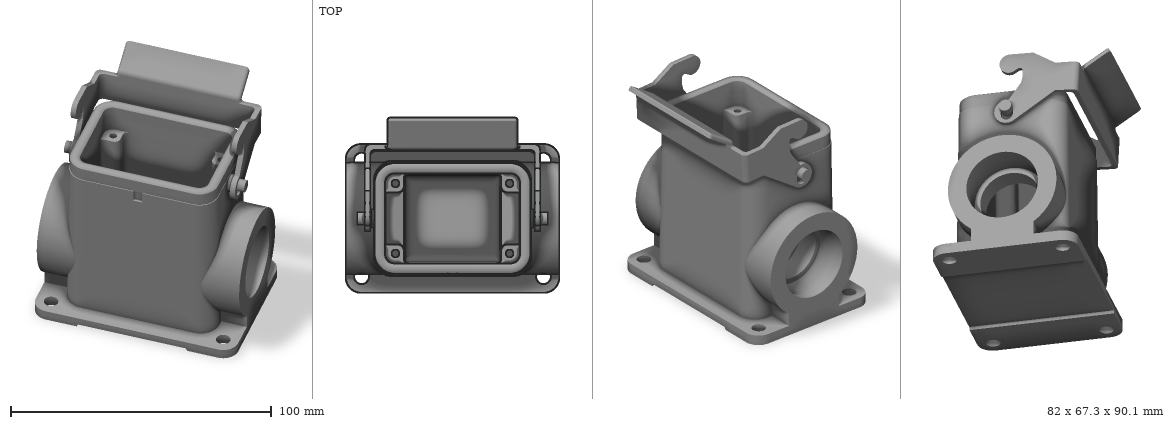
import cadquery as cq
import math

base_length = 82.0
base_width = 57.1
base_thickness = 4.1
base_corner_radius = 6.0
mount_hole_diameter = 5.6
mount_hole_spacing_x = 69.7
mount_hole_spacing_y = 44.7
recess_depth = 1.1
recess_top_length = 43.6
recess_bottom_length = 44.7

body_foot_length = 61.3
body_foot_width = 44.3
body_draft = 0.6
body_corner_radius = 7.6
shoulder_z = 67.8
rim_length = 59.6
rim_width = 42.3
rim_corner_radius = 7.7
rim_wall = 3.9
rim_crown_height = 0.8
housing_top = 73.9
crown_base_z = housing_top - rim_crown_height
notch_width = 3.5
notch_height = 4.5
notch_depth = 0.9

cavity_length = rim_length - 2 * rim_wall
cavity_width = rim_width - 2 * rim_wall
cavity_corner_radius = rim_corner_radius - rim_wall
post_top_z = 62.25
floor_z = base_thickness
cavity_depth = post_top_z - floor_z
core_length = 37.3
side_pocket_width = 20.2
cavity_draft = 0.7
throat_draft = 1.0
post_wall_radius = 1.6
post_corner_radius = 2.25
pocket_corner_radius = 0.7
floor_fillet = 3.0
ledge_outer_z = 47.7
ledge_angle = 27.5
screw_hole_diameter = 3.0
screw_hole_depth = 10.8
screw_spacing_x = 43.8
screw_spacing_y = 26.85

entry_z = 26.9
entry_radius = 21.4
entry_bore_diameter = 24.0
entry_counterbore_diameter = 28.3
entry_counterbore_depth = 13.6
web_width = 24.8

pin_z = 63.7
pin_diameter = 4.8
pin_tip_x = 36.5
pin_root_x = 27.0
collar_diameter = 7.0
collar_end_x = 30.9

lever_length = 67.2
lever_thickness = 2.1
eye_center_z = 62.5
eye_radius = 4.95
eye_slot_travel = 2 * (pin_z - eye_center_z)
underside_angle = 33.8
bend_outer_radius = 2.1
bend_inner_radius = 1.8
hook_center = (1.1, 83.1)
hook_radius = 4.0
hook_exit_angle = -73.0
cheek_arm_top = (19.2, 81.2)
cheek_shoulder = (10.5, 86.7)
throat_start = (4.2, 80.45)
throat_middle = (5.7, 80.5)
throat_end = (6.2, 79.6)
neck_top = (6.2, 76.8)
neck_bend = (5.6, 74.2)
neck_foot_y = 0.7
elbow_y = 18.9
back_foot = (27.75, 68.65)
back_head = (28.4, 80.7)
tab_width = 49.9
tab_tip_y = 38.7
tab_tip_z = 90.1
tab_angle = 32.8
tab_corner_radius = 1.35
tab_root_radius = 1.2
tab_overlap = 1.8
tab_tip_edge_radius = 0.45
tab_bend_radius = 2.2

collar_taper_end_x = lever_length / 2 - lever_thickness


def rounded_rectangle(length, width, radius):
    return cq.Sketch().rect(length, width).vertices().fillet(radius)


def base_plate():
    plate = cq.Workplane("XY").placeSketch(
        rounded_rectangle(base_length, base_width, base_corner_radius)
    ).extrude(base_thickness)
    recess = (
        cq.Workplane("XZ")
        .polyline([
            (-recess_bottom_length / 2, 0),
            (recess_bottom_length / 2, 0),
            (recess_top_length / 2, recess_depth),
            (-recess_top_length / 2, recess_depth),
        ])
        .close()
        .extrude(base_width / 2, both=True)
    )
    return plate.cut(recess)


def mount_holes():
    return (
        cq.Workplane("XY")
        .rarray(mount_hole_spacing_x, mount_hole_spacing_y, 2, 2)
        .circle(mount_hole_diameter / 2)
        .extrude(base_thickness)
    )


def tapered_body():
    return (
        cq.Workplane("XY", origin=(0, 0, base_thickness))
        .rect(body_foot_length, body_foot_width)
        .extrude(shoulder_z - base_thickness, taper=body_draft)
        .edges("not #Z")
        .fillet(body_corner_radius)
    )


def rim():
    band = (
        cq.Workplane("XY", origin=(0, 0, shoulder_z))
        .placeSketch(rounded_rectangle(rim_length, rim_width, rim_corner_radius))
        .extrude(crown_base_z - shoulder_z)
    )
    path = (
        cq.Workplane("XY", origin=(0, 0, crown_base_z))
        .rect(rim_length - rim_wall, rim_width - rim_wall)
        .extrude(0.9)
        .edges("|Z")
        .fillet(rim_corner_radius - rim_wall / 2)
        .faces("<Z")
        .wires()
    )
    crown = (
        cq.Workplane("YZ", origin=(0, -(rim_width - rim_wall) / 2, crown_base_z))
        .moveTo(-rim_wall / 2, 0)
        .threePointArc((0, rim_crown_height), (rim_wall / 2, 0))
        .close()
        .sweep(path)
    )
    return band.union(crown)


def cable_entries():
    barrel = (
        cq.Workplane("YZ")
        .center(0, entry_z)
        .circle(entry_radius)
        .extrude(base_length / 2, both=True)
    )
    web = (
        cq.Workplane("XY", origin=(0, 0, base_thickness))
        .rect(base_length, web_width)
        .extrude(entry_z - base_thickness)
    )
    return barrel.union(web)


def entry_bores():
    bores = (
        cq.Workplane("YZ")
        .center(0, entry_z)
        .circle(entry_bore_diameter / 2)
        .extrude(base_length / 2, both=True)
    )
    for side in (-1, 1):
        counterbore = (
            cq.Workplane("YZ", origin=(side * base_length / 2, 0, entry_z))
            .circle(entry_counterbore_diameter / 2)
            .extrude(-side * entry_counterbore_depth)
        )
        bores = bores.union(counterbore)
    return bores


def cavity():
    throat_inset = (shoulder_z - post_top_z) * math.tan(math.radians(throat_draft))
    pocket_length = cavity_length - 2 * throat_inset
    core_width = cavity_width - 2 * throat_inset
    mouth_outline = rounded_rectangle(cavity_length, cavity_width, cavity_corner_radius)
    shoulder = cq.Workplane("XY", origin=(0, 0, shoulder_z))
    mouth = shoulder.placeSketch(mouth_outline).extrude(housing_top - shoulder_z)
    throat = shoulder.placeSketch(mouth_outline).extrude(post_top_z - shoulder_z, taper=throat_draft)
    mouth = mouth.union(throat)
    core = (
        cq.Workplane("XY", origin=(0, 0, post_top_z))
        .placeSketch(rounded_rectangle(core_length, core_width, post_wall_radius))
        .extrude(-cavity_depth, taper=cavity_draft)
        .faces("<Z")
        .edges()
        .fillet(floor_fillet)
    )
    ledge_inner_z = ledge_outer_z - (pocket_length - core_length) / 2 * math.tan(math.radians(ledge_angle))
    corner_reach = (core_length / 2 + 0.9, side_pocket_width / 2 + 0.9, 0.9)
    post_corners = cq.selectors.BoxSelector([-reach for reach in corner_reach], corner_reach)
    cross_outline = (
        cq.Sketch()
        .rect(core_length, core_width)
        .rect(pocket_length, side_pocket_width)
        .clean()
        .vertices(post_corners)
        .fillet(post_corner_radius)
        .reset()
        .vertices("<Y or >Y")
        .fillet(post_wall_radius)
        .reset()
        .vertices("<X or >X")
        .fillet(pocket_corner_radius)
        .reset()
    )
    cross = (
        cq.Workplane("XY", origin=(0, 0, post_top_z))
        .placeSketch(cross_outline)
        .extrude(-cavity_depth, taper=cavity_draft)
    )
    above_ledges = (
        cq.Workplane("XZ")
        .polyline([
            (-pocket_length / 2, post_top_z),
            (-pocket_length / 2, ledge_outer_z),
            (-core_length / 2, ledge_inner_z),
            (core_length / 2, ledge_inner_z),
            (pocket_length / 2, ledge_outer_z),
            (pocket_length / 2, post_top_z),
        ])
        .close()
        .extrude(cavity_width / 2, both=True)
    )
    return mouth.union(core).union(cross.intersect(above_ledges))


def screw_holes():
    return (
        cq.Workplane("XY", origin=(0, 0, post_top_z))
        .rarray(screw_spacing_x, screw_spacing_y, 2, 2)
        .circle(screw_hole_diameter / 2)
        .extrude(-screw_hole_depth)
    )


def front_notch():
    face_y = -body_foot_width / 2 + (shoulder_z - base_thickness) * math.tan(math.radians(body_draft))
    return (
        cq.Workplane("XY")
        .box(notch_width, 2 * notch_depth, notch_height)
        .translate((0, face_y, shoulder_z - notch_height / 2))
    )


def pivot_pin(side):
    pin = (
        cq.Workplane("XY")
        .polyline([
            (side * pin_root_x, 0),
            (side * pin_root_x, collar_diameter / 2),
            (side * collar_end_x, collar_diameter / 2),
            (side * collar_taper_end_x, pin_diameter / 2),
            (side * pin_tip_x, pin_diameter / 2),
            (side * pin_tip_x, 0),
        ])
        .close()
        .revolve(360, (0, 0), (1, 0))
    )
    return pin.translate((0, 0, pin_z))


def make_housing():
    body = base_plate().union(tapered_body()).union(rim()).union(cable_entries())
    for side in (-1, 1):
        body = body.union(pivot_pin(side))
    return body.cut(cavity()).cut(entry_bores()).cut(screw_holes()).cut(mount_holes()).cut(front_notch())


def lever_cheek_outline():
    hook_y, hook_z = hook_center
    angle = math.radians(underside_angle)
    neck_foot_z = eye_center_z + math.sqrt(eye_radius**2 - neck_foot_y**2)
    exit_angle = math.radians(hook_exit_angle)
    hook_exit = (hook_y + hook_radius * math.cos(exit_angle), hook_z + hook_radius * math.sin(exit_angle))
    eye_tangent = (eye_radius * math.sin(angle), eye_center_z - eye_radius * math.cos(angle))
    elbow = (elbow_y, eye_tangent[1] + (elbow_y - eye_tangent[0]) * math.tan(angle))
    return (
        cq.Workplane("YZ")
        .moveTo(*back_foot)
        .lineTo(*back_head)
        .lineTo(*cheek_arm_top)
        .lineTo(*cheek_shoulder)
        .lineTo(hook_y, hook_z + hook_radius)
        .threePointArc((hook_y - hook_radius, hook_z), hook_exit)
        .lineTo(*throat_start)
        .threePointArc(throat_middle, throat_end)
        .lineTo(*neck_top)
        .lineTo(*neck_bend)
        .lineTo(neck_foot_y, neck_foot_z)
        .threePointArc((-eye_radius, eye_center_z), eye_tangent)
        .lineTo(*elbow)
        .close()
    )


back_lean = (back_head[0] - back_foot[0]) / (back_head[1] - back_foot[1])


def back_plate_y(z):
    return back_foot[0] + back_lean * (z - back_foot[1])


def lever_opening():
    inner_length = lever_length - 2 * lever_thickness
    low_z = eye_center_z - 2 * eye_radius
    front_y = -2 * eye_radius
    opening = (
        cq.Workplane("YZ")
        .polyline([
            (back_plate_y(low_z) - lever_thickness, low_z),
            (back_plate_y(tab_tip_z) - lever_thickness, tab_tip_z),
            (front_y, tab_tip_z),
            (front_y, low_z),
        ])
        .close()
        .extrude(inner_length / 2, both=True)
    )
    return opening.faces(">Y").edges("not |X").fillet(bend_inner_radius)


def tab_front_outline():
    half_width = tab_width / 2
    half_flare = half_width + tab_root_radius
    root_z = back_head[1]
    low_z = root_z - tab_overlap
    high_z = tab_tip_z + tab_overlap
    arc_offset = tab_root_radius * (1 - math.sqrt(0.5))
    return (
        cq.Workplane("XZ")
        .moveTo(-half_flare, low_z)
        .lineTo(half_flare, low_z)
        .lineTo(half_flare, root_z)
        .threePointArc((half_width + arc_offset, root_z + arc_offset), (half_width, root_z + tab_root_radius))
        .lineTo(half_width, high_z)
        .lineTo(-half_width, high_z)
        .lineTo(-half_width, root_z + tab_root_radius)
        .threePointArc((-half_width - arc_offset, root_z + arc_offset), (-half_flare, root_z))
        .close()
    )


def lever_tab():
    angle = math.radians(tab_angle)
    slope = math.tan(angle)
    tip_rounding_loss = tab_tip_edge_radius * (math.sin(angle) + math.cos(angle) - 1)
    tip_high = (tab_tip_y - lever_thickness * math.sin(angle), tab_tip_z + tip_rounding_loss)
    tip_low = (tab_tip_y, tip_high[1] - lever_thickness * math.cos(angle))
    foot_z = back_head[1] - tab_overlap
    foot_outer = (back_plate_y(foot_z), foot_z)
    foot_inner = (foot_outer[0] - lever_thickness, foot_z)

    def bend_point(foot, tip):
        tip_drop_z = tip[1] - (tip[0] - foot[0]) * slope
        rise = (tip_drop_z - foot[1]) / (1 - back_lean * slope)
        return (foot[0] + back_lean * rise, foot[1] + rise)

    inner_bend = bend_point(foot_inner, tip_high)
    tab = (
        cq.Workplane("YZ")
        .polyline([
            foot_outer,
            bend_point(foot_outer, tip_low),
            tip_low,
            tip_high,
            inner_bend,
            foot_inner,
        ])
        .close()
        .extrude(lever_length / 2, both=True)
    )
    tab = tab.edges(cq.selectors.NearestToPointSelector((0, *inner_bend))).fillet(tab_bend_radius)
    tab = tab.edges(cq.selectors.NearestToPointSelector((0, *tip_high))).fillet(tab_tip_edge_radius)
    tab = tab.intersect(tab_front_outline().extrude(-2 * tab_tip_y))
    tip_middle = ((tip_low[0] + tip_high[0]) / 2, (tip_low[1] + tip_high[1]) / 2)
    for side in (-1, 1):
        tip_corner = cq.selectors.NearestToPointSelector((side * tab_width / 2, *tip_middle))
        tab = tab.edges(tip_corner).fillet(tab_corner_radius)
    return tab


def eye_slots():
    return (
        cq.Workplane("YZ", origin=(0, 0, eye_center_z))
        .slot2D(eye_slot_travel + pin_diameter, pin_diameter, 90)
        .extrude(lever_length / 2, both=True)
    )


def make_lever():
    lever = lever_cheek_outline().extrude(lever_length / 2, both=True)
    lever = lever.faces(">Y").edges("not |X").fillet(bend_outer_radius)
    return lever.cut(lever_opening()).union(lever_tab()).cut(eye_slots())


housing = make_housing()
lever = make_lever()

result = cq.Compound.makeCompound([housing.val(), lever.val()])